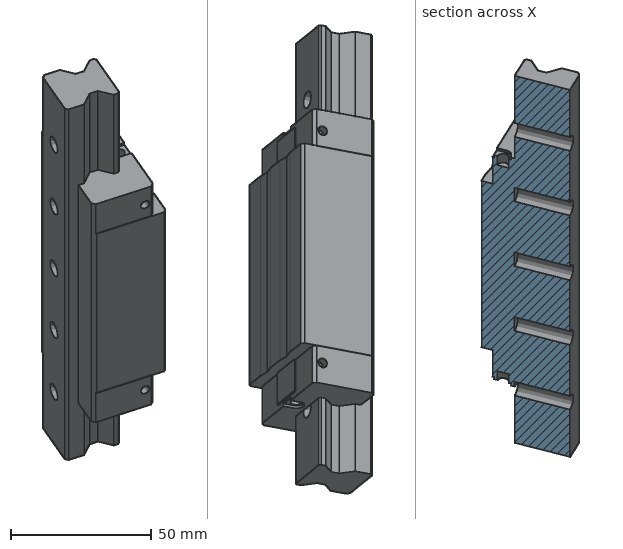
import cadquery as cq


rail_length = 170.0
rail_half_width = 10.0
rail_height = 21.2
rail_top_chamfer = 0.7
rail_base_chamfer = 1.0
neck_half_width = 5.8
neck_bottom = 11.4
neck_top = 14.6
flank_run = rail_half_width - neck_half_width
bolt_hole_diameter = 6.1
bolt_hole_pitch = 30.0
bolt_hole_count = 5

block_underside = 5.0
body_width = 44.0
body_half_width = body_width / 2
body_top = 34.0
body_length = 77.2
body_bottom_chamfer = 1.5
body_top_chamfer = 1.0
block_center_z = -6.1
groove_center_x = 8.0
groove_half_width = 4.0
groove_depth = 0.7

cap_half_width = 21.8
cap_top = 29.2
cap_length = 14.3
cap_chamfer = body_bottom_chamfer - (body_half_width - cap_half_width)
pad_half_width = 7.1
pad_height = 0.5
pad_setback = 2.0

port_y = 25.7
recess_width = 6.0
recess_radius = recess_width / 2
recess_depth = 1.0
end_port_diameter = 4.2
end_port_depth = 5.1
side_port_diameter = 3.4
side_port_depth = 3.4
side_port_from_body = 6.3


def extrude_z(outline, z_start, length):
    """Extrude a closed list of (x, y) points along Z."""
    return cq.Workplane("XY", origin=(0, 0, z_start)).polyline(outline).close().extrude(length)


def mirrored(right_side):
    """Complete an outline given by its right half, listed from bottom to top."""
    return right_side + [(-x, y) for x, y in reversed(right_side)]


def make_rail():
    outline = mirrored([
        (rail_half_width - rail_base_chamfer, 0),
        (rail_half_width, rail_base_chamfer),
        (rail_half_width, neck_bottom - flank_run),
        (neck_half_width, neck_bottom),
        (neck_half_width, neck_top),
        (rail_half_width, neck_top + flank_run),
        (rail_half_width, rail_height - rail_top_chamfer),
        (rail_half_width - rail_top_chamfer, rail_height),
    ])
    return extrude_z(outline, -rail_length / 2, rail_length)


def make_bolt_holes():
    """Cylinders from the mounting face up to the rail's top, spaced along Z."""
    return (
        cq.Workplane("XZ")
        .rarray(1.7, bolt_hole_pitch, 1, bolt_hole_count)
        .circle(bolt_hole_diameter / 2)
        .extrude(-rail_height)
    )


def make_body():
    outline = mirrored([
        (body_half_width - body_bottom_chamfer, block_underside),
        (body_half_width, block_underside + body_bottom_chamfer),
        (body_half_width, body_top - body_top_chamfer),
        (body_half_width - body_top_chamfer, body_top),
        (groove_center_x + groove_half_width, body_top),
        (groove_center_x, body_top - groove_depth),
        (groove_center_x - groove_half_width, body_top),
    ])
    return extrude_z(outline, -body_length / 2, body_length)


def make_cap():
    """End cap on the +Z end of a block body centred on Z = 0."""
    cap_start = body_length / 2
    cap_end = cap_start + cap_length
    outline = mirrored([
        (cap_half_width - cap_chamfer, block_underside),
        (cap_half_width, block_underside + cap_chamfer),
        (cap_half_width, cap_top - cap_chamfer),
        (cap_half_width - cap_chamfer, cap_top),
    ])
    cap = extrude_z(outline, cap_start, cap_length)

    pad_top = cap_top + pad_height
    pad_outline = mirrored([
        (pad_half_width, cap_top - cap_chamfer),
        (pad_half_width, pad_top),
    ])
    pad = extrude_z(pad_outline, cap_start, cap_length - pad_setback)
    cap = cap.union(pad)

    recess = (
        cq.Workplane("XY", origin=(0, 0, cap_end))
        .moveTo(-recess_radius, pad_top)
        .lineTo(-recess_radius, port_y)
        .threePointArc((0, port_y - recess_radius), (recess_radius, port_y))
        .lineTo(recess_radius, pad_top)
        .close()
        .extrude(-recess_depth)
    )
    end_port = (
        cq.Workplane("XY", origin=(0, port_y, cap_end))
        .circle(end_port_diameter / 2)
        .extrude(-end_port_depth)
    )
    cap = cap.cut(recess).cut(end_port)

    for side in (-1, 1):
        side_port = (
            cq.Workplane("YZ", origin=(side * cap_half_width, port_y, cap_start + side_port_from_body))
            .circle(side_port_diameter / 2)
            .extrude(-side * side_port_depth)
        )
        cap = cap.cut(side_port)
    return cap


def make_block():
    cap = make_cap()
    block = make_body().union(cap).union(cap.mirror("XY"))
    return block.translate((0, 0, block_center_z))


result = make_rail().union(make_block()).cut(make_bolt_holes())